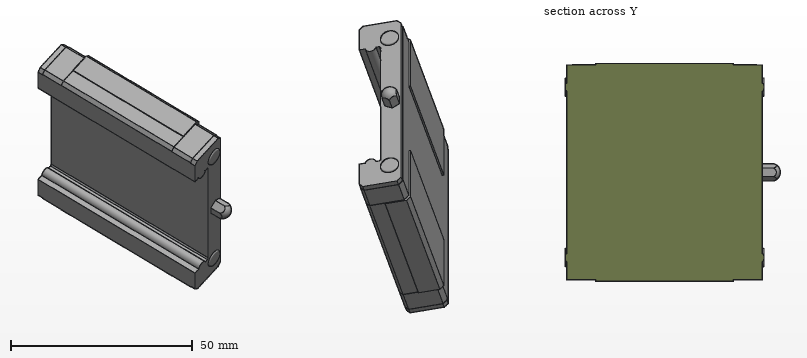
import cadquery as cq
import math

thickness = 12.6
height = 60.0
body_length = 53.9

cap_length = 1.55
body_back_drop = 0.5
cap_back_drop = 0.7
body_side_drop = 0.35
cap_side_drop = 0.4
front_chamfer = 1.0
cap_front_chamfer_z = 1.15
body_front_chamfer_z = 0.95
cap_back_chamfer = 1.15
body_back_chamfer = 1.3

web_front = 6.1
recess_half_height = 21.05
corner_chamfer = 0.4

bead_y = 3.25
bead_width = 3.05
bead_protrusion = 1.2

cover_length = 37.9
cover_inner_z = 11.9
cover_step_y = 5.35
cover_step = 0.25

button_radius = 2.6
button_height = 0.5
button_rounding = 0.35
button_y = 8.65
button_z = 23.45

stud_corner_diameter = 4.8
stud_y = 9.35
stud_length = 5.0
dome_radius = 2.45

body_half_height = height / 2 - body_side_drop
cap_half_height = height / 2 - cap_side_drop
body_back = thickness - body_back_drop
cap_back = thickness - cap_back_drop


def extrude_profile(points, length):
    """Extrude a closed (Y, Z) outline along X, centred on X = 0."""
    return cq.Workplane("YZ").polyline(points).close().extrude(length / 2, both=True)


def chamfered_block(length, back, half_height, front_chamfer_z, back_chamfer):
    """Make a block whose four long edges are chamfered."""
    upper_edge = [
        (0, half_height - front_chamfer_z),
        (front_chamfer, half_height),
        (back - back_chamfer, half_height),
        (back, half_height - back_chamfer),
    ]
    lower_edge = [(y, -z) for y, z in reversed(upper_edge)]
    return extrude_profile(upper_edge + lower_edge, length)


def recess():
    """Make the channel between the rails, with chamfered inner corners."""
    upper_edge = [
        (0, recess_half_height),
        (web_front - corner_chamfer, recess_half_height),
        (web_front, recess_half_height - corner_chamfer),
    ]
    lower_edge = [(y, -z) for y, z in reversed(upper_edge)]
    return extrude_profile(upper_edge + lower_edge, body_length)


def bead():
    """Make the bead hanging from the upper rail, rooted inside it for a sound joint."""
    root_z = recess_half_height + bead_protrusion
    front_y = bead_y - bead_width / 2
    back_y = bead_y + bead_width / 2
    return (
        cq.Workplane("YZ")
        .moveTo(front_y, root_z)
        .lineTo(front_y, recess_half_height)
        .threePointArc((bead_y, recess_half_height - bead_protrusion), (back_y, recess_half_height))
        .lineTo(back_y, root_z)
        .close()
        .extrude(body_length / 2, both=True)
    )


def cover():
    """Make the upper cover, lower in front of its lengthwise step."""
    half_height = height / 2
    front_height = half_height - cover_step
    outline = [
        (0, cover_inner_z),
        (0, front_height - front_chamfer),
        (front_chamfer, front_height),
        (cover_step_y, front_height),
        (cover_step_y, half_height),
        (thickness - cap_back_chamfer, half_height),
        (thickness, half_height - cap_back_chamfer),
        (thickness, cover_inner_z),
    ]
    return extrude_profile(outline, cover_length)


def button(z):
    """Make a rounded button standing on the +X end of the body."""
    end_plane = cq.Workplane("YZ", origin=(body_length / 2, button_y, z))
    disc = end_plane.circle(button_radius).extrude(button_height)
    return disc.faces(">X").fillet(button_rounding)


def stud():
    """Make the hexagonal stud, trimmed to a domed tip."""
    start = body_length / 2
    hexagon = (
        cq.Workplane("YZ", origin=(start, stud_y, 0))
        .polygon(6, stud_corner_diameter)
        .extrude(stud_length)
        .rotate((start, stud_y, 0), (start + 0.6, stud_y, 0), 90)
    )
    shoulder = stud_length - dome_radius
    diagonal = dome_radius * math.sqrt(0.5)
    turned = (
        cq.Workplane("XZ", origin=(start, stud_y, 0))
        .lineTo(0, dome_radius)
        .lineTo(shoulder, dome_radius)
        .threePointArc((shoulder + diagonal, diagonal), (stud_length, 0))
        .close()
        .revolve(360, (0, 0, 0), (1, 0, 0))
    )
    return hexagon.intersect(turned)


body = chamfered_block(
    body_length - 2 * cap_length, body_back, body_half_height, body_front_chamfer_z, body_back_chamfer
)
end_caps = chamfered_block(body_length, cap_back, cap_half_height, cap_front_chamfer_z, cap_back_chamfer)
result = body.union(end_caps)

for angle in (0, 180):
    result = result.union(cover().rotate((0, 0, 0), (0, 1, 0), angle))

result = result.cut(recess())

upper_bead = bead()
result = result.union(upper_bead).union(upper_bead.mirror("XY"))

for side in (1, -1):
    end_button = button(side * button_z)
    result = result.union(end_button).union(end_button.mirror("YZ"))

result = result.union(stud())